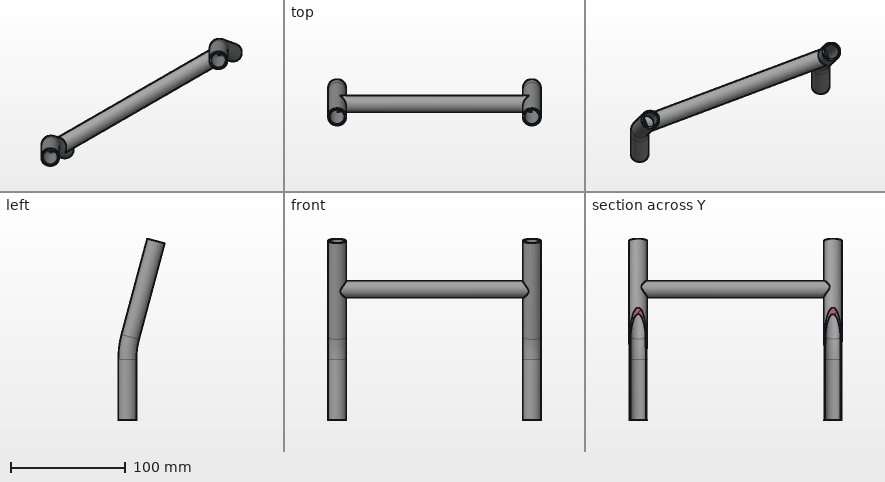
import cadquery as cq
import math

LEG_OUTER_DIAMETER = 16.0
LEG_BORE_DIAMETER = 12.8
LEG_SPACING = 170.0
LOWER_LENGTH = 53.33
BEND_RADIUS = 75.0
BEND_ANGLE = 15.0
UPPER_LENGTH = 86.65

BAR_DIAMETER = 15.0
BAR_POSITION = 43.05

LEAN = math.radians(BEND_ANGLE)
LEG_POSITIONS = (-LEG_SPACING / 2, LEG_SPACING / 2)


def bend_point(angle):
    """Point on the bend axis after turning through the given angle."""
    y = -BEND_RADIUS * (1 - math.cos(angle))
    z = LOWER_LENGTH + BEND_RADIUS * math.sin(angle)
    return y, z


def upper_point(distance):
    """Point on the leaning axis at a distance from the end of the bend."""
    y, z = bend_point(LEAN)
    return y - distance * math.sin(LEAN), z + distance * math.cos(LEAN)


def bent_rod(diameter, x):
    """Solid round rod along the axis of the leg standing at x."""
    axis = (
        cq.Workplane("YZ", origin=(x, 0, 0))
        .lineTo(0, LOWER_LENGTH)
        .threePointArc(bend_point(LEAN / 2), bend_point(LEAN))
        .lineTo(*upper_point(UPPER_LENGTH))
    )
    return cq.Workplane("XY", origin=(x, 0, 0)).circle(diameter / 2).sweep(axis)


def crossbar():
    """Round bar running from one leg axis to the other."""
    y, z = upper_point(BAR_POSITION)
    return (
        cq.Workplane("YZ", origin=(-LEG_SPACING / 2, y, z))
        .circle(BAR_DIAMETER / 2)
        .extrude(LEG_SPACING)
    )


def leg(x):
    """Bent tube standing at x."""
    return bent_rod(LEG_OUTER_DIAMETER, x).cut(bent_rod(LEG_BORE_DIAMETER, x))


result = crossbar()
for leg_x in LEG_POSITIONS:
    result = result.union(leg(leg_x))